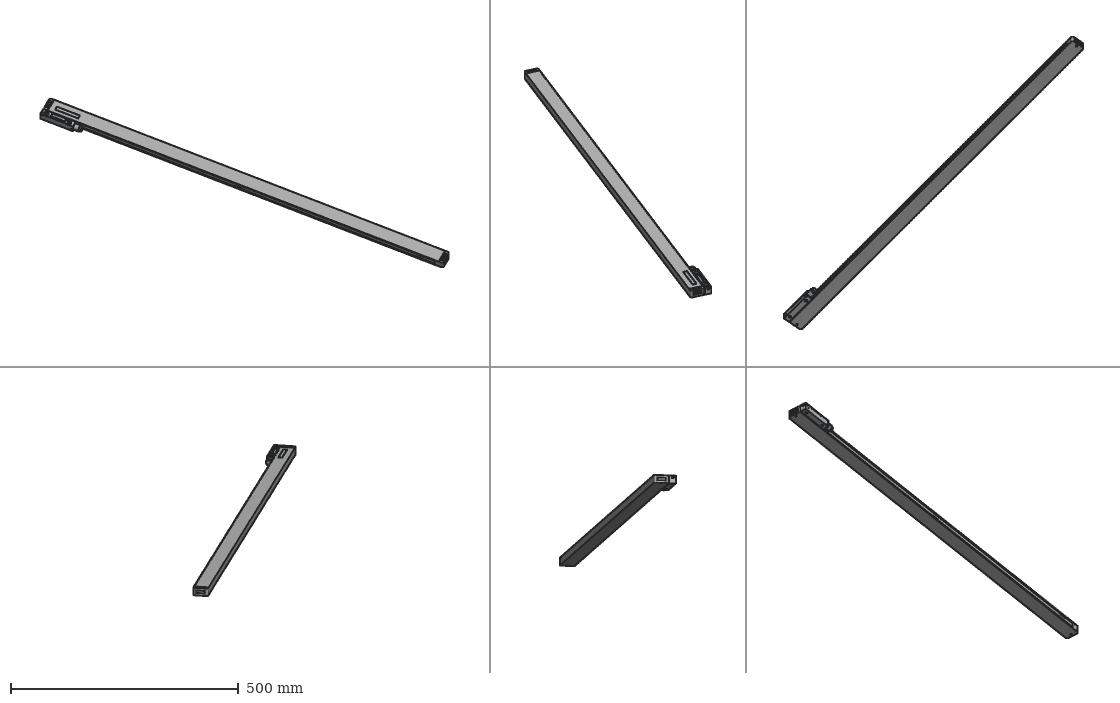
import cadquery as cq

LENGTH = 975.0
DEPTH = 49.0
HEIGHT = 18.0
MID_HEIGHT = HEIGHT / 2

HOUSING_FRONT = 16.0
HOUSING_WIDTH = DEPTH - HOUSING_FRONT
HOUSING_MID_Y = HOUSING_FRONT + HOUSING_WIDTH / 2

GROOVE_END_MARGIN = 20.0
GROOVE_DEPTH = 1.0
LIP_HEIGHT = 3.0
TAB_LENGTH = 18.0
TAB_HEIGHT = 2.0
LOWER_TAB_X = 474.0
UPPER_TAB_X = 920.0

LABEL_X = 24.0
LABEL_Y = 25.0
LABEL_LENGTH = 56.0
LABEL_WIDTH = 9.0
RECESS_DEPTH = 1.0

SEAM_X = 10.0
SEAM_WIDTH = 1.0
SEAM_DEPTH = 0.2
CORNER_RADIUS = 5.0
END_RECESS_WIDTH = 19.0
SCREW_POCKET_INSET = 3.0
SCREW_POCKET_LENGTH = 6.0
SCREW_POCKET_DEPTH = 4.0
SCREW_HOLE_DIAMETER = 4.0
END_SLOT_HEIGHT = 6.0
END_SLOT_DEPTH = 2.0

HEAD_LENGTH = 80.0
HEAD_WIDTH = 15.0
HEAD_MID_Y = HEAD_WIDTH / 2
HEAD_HOLE_XS = (12.0, 67.0)
HEAD_HOLE_DIAMETER = 5.0
COUNTERBORE_DIAMETER = 10.0
COUNTERBORE_DEPTH = 6.0

POCKET_X = 23.0
POCKET_LENGTH = 34.0
POCKET_MARGIN = 1.0
POCKET_STEP_Y = 6.0
POCKET_DEEP = 2.0

END_PORT_DIAMETER = 4.0
FRONT_PORT_DIAMETER = 3.0
PORT_DEPTH = 3.0
PORT_EDGE_DISTANCE = 4.0

BOSS_DIAMETER = 15.0
BOSS_LENGTH = 13.0
STUB_DIAMETER = 12.0
STUB_LENGTH = 5.0


def block(x, y, z, length, width, height):
    """Box with its lowest corner at (x, y, z)."""
    return cq.Workplane("XY").box(length, width, height, centered=False).translate((x, y, z))


def upright_cylinder(x, y, z, diameter, height):
    """Cylinder standing on height z."""
    return cq.Workplane("XY", origin=(x, y, z)).circle(diameter / 2).extrude(height)


def lengthwise_cylinder(x, y, z, diameter, length):
    """Cylinder that starts at x and runs toward +X."""
    return cq.Workplane("YZ", origin=(x, y, z)).circle(diameter / 2).extrude(length)


def groove_cutter():
    """Front groove, less the two tabs that widen its lips."""
    groove_height = HEIGHT - 2 * LIP_HEIGHT
    groove_length = LENGTH - 2 * GROOVE_END_MARGIN
    cutter = block(GROOVE_END_MARGIN, HOUSING_FRONT, LIP_HEIGHT, groove_length, GROOVE_DEPTH, groove_height)
    lower_tab_z = LIP_HEIGHT
    upper_tab_z = HEIGHT - LIP_HEIGHT - TAB_HEIGHT
    for tab_x, tab_z in ((LOWER_TAB_X, lower_tab_z), (UPPER_TAB_X, upper_tab_z)):
        tab_start = tab_x - TAB_LENGTH / 2
        cutter = cutter.cut(block(tab_start, HOUSING_FRONT, tab_z, TAB_LENGTH, GROOVE_DEPTH, TAB_HEIGHT))
    return cutter


def left_end_cutter():
    """Cuts for the -X end: a seam groove on top, the screw pocket with its hole, and the end slot."""
    recess_y = HOUSING_MID_Y - END_RECESS_WIDTH / 2
    pocket_z = HEIGHT - SCREW_POCKET_DEPTH
    hole_x = SCREW_POCKET_INSET + SCREW_POCKET_LENGTH / 2
    slot_z = MID_HEIGHT - END_SLOT_HEIGHT / 2
    cutter = upright_cylinder(hole_x, HOUSING_MID_Y, 0, SCREW_HOLE_DIAMETER, HEIGHT)
    seam = block(SEAM_X, HOUSING_FRONT, HEIGHT - SEAM_DEPTH, SEAM_WIDTH, HOUSING_WIDTH, SEAM_DEPTH)
    pocket = block(
        SCREW_POCKET_INSET, recess_y, pocket_z, SCREW_POCKET_LENGTH, END_RECESS_WIDTH, SCREW_POCKET_DEPTH
    )
    end_slot = block(0, recess_y, slot_z, END_SLOT_DEPTH, END_RECESS_WIDTH, END_SLOT_HEIGHT)
    return cutter.union(seam).union(pocket).union(end_slot)


def make_housing():
    bar = block(0, HOUSING_FRONT, 0, LENGTH, HOUSING_WIDTH, HEIGHT)
    bar = bar.edges("|Z").fillet(CORNER_RADIUS)
    bar = bar.cut(groove_cutter())
    label_z = HEIGHT - RECESS_DEPTH
    bar = bar.cut(block(LABEL_X, LABEL_Y, label_z, LABEL_LENGTH, LABEL_WIDTH, RECESS_DEPTH))
    left_cutter = left_end_cutter()
    right_cutter = left_cutter.mirror("YZ", (LENGTH / 2, 0, 0))
    return bar.cut(left_cutter).cut(right_cutter)


def cut_mounting_holes(body):
    for hole_x in HEAD_HOLE_XS:
        counterbore_z = HEIGHT - COUNTERBORE_DEPTH
        body = body.cut(upright_cylinder(hole_x, HEAD_MID_Y, 0, HEAD_HOLE_DIAMETER, HEIGHT))
        body = body.cut(
            upright_cylinder(hole_x, HEAD_MID_Y, counterbore_z, COUNTERBORE_DIAMETER, COUNTERBORE_DEPTH)
        )
    return body


def cut_top_pocket(body):
    """Shallow pocket whose rear part is deeper."""
    pocket_width = HEAD_WIDTH - 2 * POCKET_MARGIN
    deep_width = HEAD_WIDTH - POCKET_MARGIN - POCKET_STEP_Y
    shallow_z = HEIGHT - RECESS_DEPTH
    deep_z = HEIGHT - POCKET_DEEP
    body = body.cut(block(POCKET_X, POCKET_MARGIN, shallow_z, POCKET_LENGTH, pocket_width, RECESS_DEPTH))
    return body.cut(block(POCKET_X, POCKET_STEP_Y, deep_z, POCKET_LENGTH, deep_width, POCKET_DEEP))


def cut_ports(body):
    """One port in the end face, and two in opposite corners of the front face."""
    upper_z = HEIGHT - PORT_EDGE_DISTANCE
    body = body.cut(lengthwise_cylinder(0, HEAD_MID_Y, upper_z, END_PORT_DIAMETER, PORT_DEPTH))
    front_ports = (
        (PORT_EDGE_DISTANCE, upper_z),
        (HEAD_LENGTH - PORT_EDGE_DISTANCE, PORT_EDGE_DISTANCE),
    )
    for port_x, port_z in front_ports:
        port = cq.Workplane("XZ", origin=(port_x, 0, port_z)).circle(FRONT_PORT_DIAMETER / 2)
        body = body.cut(port.extrude(-PORT_DEPTH))
    return body


def make_head():
    body = block(0, 0, 0, HEAD_LENGTH, HEAD_WIDTH, HEIGHT)
    body = cut_mounting_holes(body)
    body = cut_top_pocket(body)
    body = cut_ports(body)
    boss_end = HEAD_LENGTH + BOSS_LENGTH
    body = body.union(lengthwise_cylinder(HEAD_LENGTH, HEAD_MID_Y, MID_HEIGHT, BOSS_DIAMETER, BOSS_LENGTH))
    return body.union(lengthwise_cylinder(boss_end, HEAD_MID_Y, MID_HEIGHT, STUB_DIAMETER, STUB_LENGTH))


housing = make_housing()
reading_head = make_head()
result = cq.Compound.makeCompound([housing.val(), reading_head.val()])